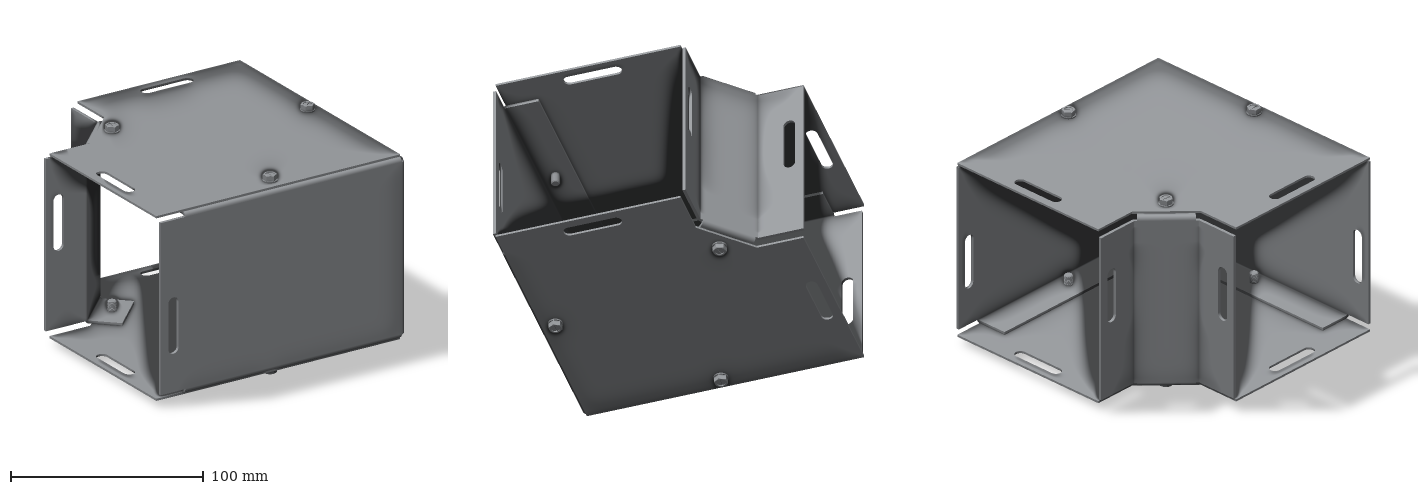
import cadquery as cq
import math


side = 154.8
overall_height = 111.5
frame_height = 101.5
cover_thickness = 1.2

sheet = 1.7
bend_inner = 0.6
bend_outer = bend_inner + sheet
flange_width = 20.0
panel_height = frame_height - 2 * bend_outer
flange_top = frame_height / 2

outer_start = 2.6
flange_start = 18.0

throat = 48.6
throat_corner = 24.8
diagonal_flange_length = 30.5

cover_start = 1.2
cover_end = 152.7
cover_throat = 51.8
cover_corner = 26.6

slot_width = 6.3
slot_length = 31.7
slot_inset = 7.9
wall_slot_rise = 11.0
cover_slot_centre = (cover_throat + cover_end) / 2

thread_diameter = 4.6
root_diameter = 4.3
shank_length = 9.0
tip_chamfer = 0.5
plain_length = cover_thickness + sheet
thread_ridges = 8
thread_pitch = (shank_length - plain_length - tip_chamfer) / thread_ridges
washer_diameter = 7.9
washer_thickness = 0.8
head_height = overall_height / 2 - flange_top - cover_thickness
hexagon_flats = 6.5
head_top_diameter = 6.3
head_chamfer_height = 0.3
recess_diameter = 4.6
recess_depth = 0.5
driver_slot_width = 0.5
driver_slot_depth = 1.2

side_screw_middle = 76.9
side_screw_edge = 145.0
throat_screw = 44.7
screw_points = [
    (side_screw_middle, side_screw_edge),
    (side_screw_edge, side_screw_middle),
    (throat_screw, throat_screw),
]
top_screw_turns = [-50, 0, -10]
bottom_screw_turns = [0, 0, -10]


def swap_xy(shape):
    """Mirror a shape about the plane x = y."""
    return shape.mirror("YZ").rotate((0, 0, 0), (0, 0, 1), -90)


def drill_screw_holes(sheet_part):
    """Cut the screw holes through every layer of a sheet part."""
    holes = (
        cq.Workplane("XY").pushPoints(screw_points).circle(thread_diameter / 2)
        .extrude(side, both=True)
    )
    return sheet_part.cut(holes)


def cut_wall_slots(wall, wall_y, slot_x, slot_z):
    """Cut a vertical slot through the leg at wall_y and the matching one through the other leg."""
    slot = (
        cq.Workplane("XZ", origin=(slot_x, wall_y, slot_z))
        .slot2D(slot_length, slot_width, 90).extrude(sheet, both=True)
    )
    return wall.cut(slot).cut(swap_xy(slot))


def make_flange_pair(length):
    """Bent flanges above and below a panel whose outer face lies on y = 0, with the inside at +Y."""
    panel_top = panel_height / 2
    flange_under = flange_top - sheet
    bend_centre = cq.Vector(bend_outer, panel_top)
    halfway_up_bend = cq.Vector(-1, 1).normalized()
    profile = (
        cq.Workplane("YZ").moveTo(0, panel_top)
        .threePointArc(bend_centre + halfway_up_bend * bend_outer, (bend_outer, flange_top))
        .lineTo(flange_width, flange_top)
        .lineTo(flange_width, flange_under)
        .lineTo(bend_outer, flange_under)
        .threePointArc(bend_centre + halfway_up_bend * bend_inner, (sheet, panel_top))
        .close()
    )
    top_flange = profile.extrude(length)
    return top_flange.union(top_flange.mirror("XY"))


def upright_prism(points, height):
    """Vertical prism over a plan outline, centred on z = 0."""
    return cq.Workplane("XY").polyline(points).close().extrude(height / 2, both=True)


def make_outer_wall():
    """Two long legs bent from one sheet, their flanges mitred together at the corner."""
    inside = side - sheet
    panels = upright_prism(
        [
            (outer_start, inside), (outer_start, side), (side, side),
            (side, outer_start), (inside, outer_start), (inside, inside),
        ],
        panel_height,
    )
    panels = panels.edges(cq.selectors.NearestToPointSelector((side, side, 0))).fillet(bend_outer)
    panels = panels.edges(cq.selectors.NearestToPointSelector((inside, inside, 0))).fillet(bend_inner)

    flange_end = side - bend_outer
    flanges = make_flange_pair(flange_end - flange_start)
    flanges = flanges.rotate((0, 0, 0), (0, 0, 1), 180).translate((flange_end, side, 0))
    beyond_mitre = upright_prism([(0, 0), (flange_end, flange_end), (flange_end, 0)], side)
    flanges = flanges.cut(beyond_mitre)

    wall = panels.union(flanges).union(swap_xy(flanges))
    wall = cut_wall_slots(wall, side, outer_start + slot_inset, -wall_slot_rise)
    return drill_screw_holes(wall)


def throat_prism(leg_face, corner, bend_radius):
    """Filled throat of the elbow out to the given leg faces, with rounded bends."""
    prism = upright_prism(
        [(0, 0), (0, leg_face), (corner, leg_face), (leg_face, corner), (leg_face, 0)], panel_height
    )
    for bend in [(corner, leg_face, 0), (leg_face, corner, 0)]:
        prism = prism.edges(cq.selectors.NearestToPointSelector(bend)).fillet(bend_radius)
    return prism


def make_inner_wall():
    """Two short legs joined by a diagonal panel, which alone carries flanges."""
    duct_corner = throat_corner + sheet * math.tan(math.radians(22.5))
    duct_side = throat_prism(throat + sheet, duct_corner, bend_outer)
    throat_side = throat_prism(throat, throat_corner, bend_inner)
    panels = duct_side.cut(throat_side)

    diagonal_middle = (throat + throat_corner) / 2
    flanges = (
        make_flange_pair(diagonal_flange_length)
        .translate((-diagonal_flange_length / 2, 0, 0))
        .rotate((0, 0, 0), (0, 0, 1), -45)
        .translate((diagonal_middle, diagonal_middle, 0))
    )
    wall = panels.union(flanges)
    wall = cut_wall_slots(wall, throat, slot_inset, wall_slot_rise)
    return drill_screw_holes(wall)


def make_cover(underside):
    """Flat cover plate with its lower face at the given height."""
    plate = (
        cq.Workplane("XY", origin=(0, 0, underside))
        .polyline([
            (cover_start, cover_end), (cover_end, cover_end), (cover_end, cover_start),
            (cover_throat, cover_start), (cover_throat, cover_corner),
            (cover_corner, cover_throat), (cover_start, cover_throat),
        ])
        .close().extrude(cover_thickness)
    )
    slot = (
        cq.Workplane("XY").center(cover_start + slot_inset, cover_slot_centre)
        .slot2D(slot_length, slot_width, 90).extrude(side, both=True)
    )
    return drill_screw_holes(plate.cut(slot).cut(swap_xy(slot)))


def make_shank():
    """Thread of ring-shaped ridges running down from z = 0 to a chamfered tip."""
    root = root_diameter / 2
    crest = thread_diameter / 2
    tip = -shank_length
    outline = cq.Workplane("XZ").lineTo(crest, 0)
    outline = outline.lineTo(crest, -plain_length)
    for index in range(thread_ridges):
        ridge = -plain_length - index * thread_pitch
        outline = outline.lineTo(root, ridge - thread_pitch / 2)
        outline = outline.lineTo(crest, ridge - thread_pitch)
    outline = outline.lineTo(crest - tip_chamfer, tip).lineTo(0, tip).close()
    return outline.revolve(360, (0, 0, 0), (0, 1, 0))


def make_head():
    """Hexagon head on a washer, seated on z = 0, with a driver slot sunk in its top recess."""
    washer = cq.Workplane("XY").circle(washer_diameter / 2).extrude(washer_thickness)
    corner_radius = hexagon_flats / math.sqrt(3)
    hexagon = cq.Workplane("XY").polygon(6, 2 * corner_radius).extrude(head_height)
    chamfer_envelope = (
        cq.Workplane("XZ").lineTo(corner_radius, 0)
        .lineTo(corner_radius, head_height - head_chamfer_height)
        .lineTo(head_top_diameter / 2, head_height)
        .lineTo(0, head_height).close()
        .revolve(360, (0, 0, 0), (0, 1, 0))
    )
    recess = (
        cq.Workplane("XY", origin=(0, 0, head_height)).circle(recess_diameter / 2).extrude(-recess_depth)
    )
    driver_slot = (
        cq.Workplane("XY", origin=(0, 0, head_height))
        .rect(recess_diameter, driver_slot_width).extrude(-driver_slot_depth)
    )
    return washer.union(hexagon.intersect(chamfer_envelope)).cut(recess).cut(driver_slot)


def make_screws():
    """Six screws, driven through the covers into the wall flanges from above and below."""
    pattern = make_head().union(make_shank())
    seat = flange_top + cover_thickness
    screws = []
    for (x, y), top_turn, bottom_turn in zip(screw_points, top_screw_turns, bottom_screw_turns):
        top_screw = pattern.rotate((0, 0, 0), (0, 0, 1), top_turn)
        top_screw = top_screw.translate((x, y, seat))
        bottom_screw = pattern.rotate((0, 0, 0), (0, 0, 1), bottom_turn).mirror("XY")
        bottom_screw = bottom_screw.translate((x, y, -seat))
        screws += [top_screw.val(), bottom_screw.val()]
    return screws


outer_wall = make_outer_wall()
inner_wall = make_inner_wall()
top_cover = make_cover(flange_top)
bottom_cover = make_cover(-flange_top - cover_thickness)
screws = make_screws()

result = cq.Compound.makeCompound(
    [outer_wall.val(), inner_wall.val(), top_cover.val(), bottom_cover.val(), *screws]
)